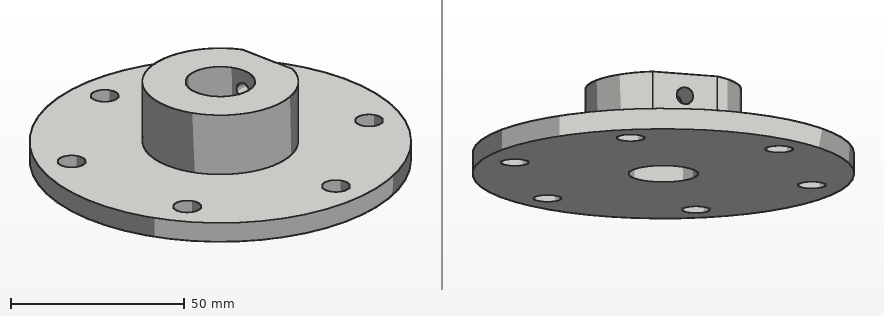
import cadquery as cq

flange_diameter = 110.0
flange_thickness = 6.0
bolt_circle_diameter = 90.0
bolt_hole_diameter = 8.0
bolt_hole_count = 6

total_height = 25.0
hub_diameter = 45.0
bore_diameter = 20.0

flat_distance = 20.2
flat_height = 13.0
set_screw_diameter = 5.0
set_screw_depth_below_top = flat_height / 2


def make_blank():
    """Round flange with the hub standing on it."""
    flange = cq.Workplane("XY").circle(flange_diameter / 2).extrude(flange_thickness)
    hub = cq.Workplane("XY").circle(hub_diameter / 2).extrude(total_height)
    return flange.union(hub)


def make_bore():
    return cq.Workplane("XY").circle(bore_diameter / 2).extrude(total_height)


def make_bolt_holes():
    return (
        cq.Workplane("XY")
        .polarArray(bolt_circle_diameter / 2, 0, 360, bolt_hole_count)
        .circle(bolt_hole_diameter / 2)
        .extrude(flange_thickness)
    )


def make_flat_cutter():
    """Block that removes the hub beyond the flat, down from the top face."""
    return (
        cq.Workplane("XY", origin=(0, flat_distance, total_height - flat_height))
        .rect(hub_diameter, hub_diameter / 2)
        .extrude(flat_height)
        .translate((0, hub_diameter / 4, 0))
    )


def make_set_screw_hole():
    """Radial hole from the bore axis out through the flat."""
    return (
        cq.Workplane("XZ", origin=(0, 0, total_height - set_screw_depth_below_top))
        .circle(set_screw_diameter / 2)
        .extrude(-hub_diameter / 2)
    )


result = (
    make_blank()
    .cut(make_bore())
    .cut(make_bolt_holes())
    .cut(make_flat_cutter())
    .cut(make_set_screw_hole())
)